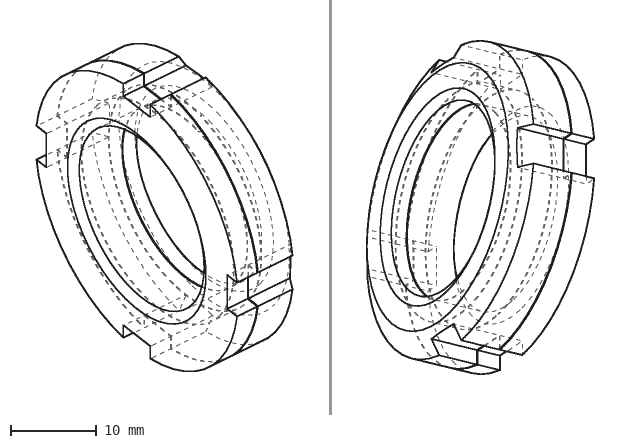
import cadquery as cq
import math

width = 10.0
slot_width = 5.0
slot_edge_reach = 18.85
outer_radius = math.hypot(slot_edge_reach, slot_width / 2)
bore_radius = 11.7
slot_floor = 17.0
slot_count = 4

front_width = 3.0
sleeve_end = 7.1
sleeve_radius = 14.3
ring_gap = 0.1

chamfer_angle = 30
bore_mouth_radius = 13.0
bore_chamfer_width = (bore_mouth_radius - bore_radius) * math.tan(math.radians(chamfer_angle))
back_face_radius = 16.0
back_chamfer_width = (outer_radius - back_face_radius) * math.tan(math.radians(chamfer_angle))


def revolve_about_y(profile):
    """Turn a closed profile of (radius, y) points into a ring about the Y axis."""
    return cq.Workplane("XY").polyline(profile).close().revolve(360, (0, 0, 0), (0, 1, 0))


def cut_wrench_slots(ring):
    """Cut the flat-floored slots through the rim along the full width."""
    slot_depth = outer_radius - slot_floor
    for index in range(slot_count):
        slot = (
            cq.Workplane("XY")
            .box(slot_depth, width, slot_width, centered=(False, False, True))
            .translate((slot_floor, 0, 0))
            .rotate((0, 0, 0), (0, 1, 0), index * 360 / slot_count)
        )
        ring = ring.cut(slot)
    return ring


def make_front_ring():
    """Slotted flange and bore sleeve, with a chamfered bore mouth on the front face."""
    ring = revolve_about_y([
        (bore_mouth_radius, 0),
        (outer_radius, 0),
        (outer_radius, front_width),
        (sleeve_radius, front_width),
        (sleeve_radius, sleeve_end),
        (bore_radius, sleeve_end),
        (bore_radius, bore_chamfer_width),
    ])
    return cut_wrench_slots(ring)


def make_back_ring():
    """Slotted ring around the sleeve, with chamfers at the back rim and the back bore mouth."""
    ring = revolve_about_y([
        (sleeve_radius, front_width + ring_gap),
        (outer_radius, front_width + ring_gap),
        (outer_radius, width - back_chamfer_width),
        (back_face_radius, width),
        (bore_mouth_radius, width),
        (bore_radius, width - bore_chamfer_width),
        (bore_radius, sleeve_end + ring_gap),
        (sleeve_radius, sleeve_end + ring_gap),
    ])
    return cut_wrench_slots(ring)


front_ring = make_front_ring()
back_ring = make_back_ring()
result = cq.Compound.makeCompound([front_ring.val(), back_ring.val()])